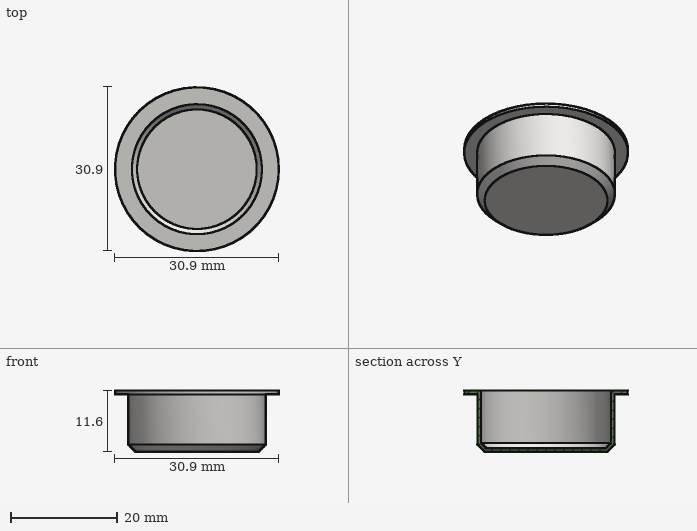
import cadquery as cq

flange_diameter = 30.9
body_diameter = 26.0
cavity_diameter = 24.5
total_height = 11.6
flange_thickness = 0.75
outer_chamfer = 1.42
inner_chamfer = 1.0

wall_thickness = (body_diameter - cavity_diameter) / 2
floor_thickness = wall_thickness


def chamfered_plug(diameter, bottom, chamfer):
    """Cylinder from the bottom height up to the rim, with its lower edge chamfered."""
    return (
        cq.Workplane("XY", origin=(0, 0, bottom))
        .circle(diameter / 2)
        .extrude(total_height - bottom)
        .faces("<Z")
        .chamfer(chamfer)
    )


flange = (
    cq.Workplane("XY", origin=(0, 0, total_height - flange_thickness))
    .circle(flange_diameter / 2)
    .extrude(flange_thickness)
)

body = chamfered_plug(body_diameter, 0, outer_chamfer)
cavity = chamfered_plug(cavity_diameter, floor_thickness, inner_chamfer)

result = body.union(flange).cut(cavity)